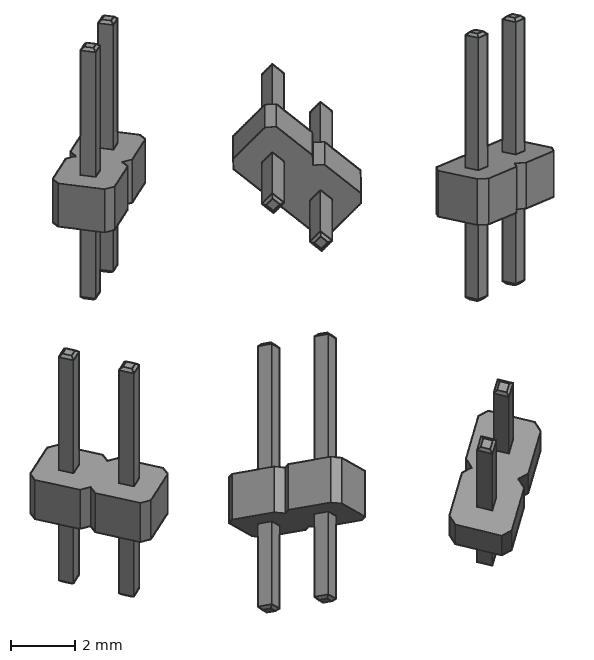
import cadquery as cq

pin_count = 2
pitch = 2.0
total_height = 8.7

block_height = 1.5
corner_cut = 0.25

pin_width = 0.5
pin_below_block = 2.8
tip_inset = 0.1
tip_height = 0.1

pin_positions = [(i - (pin_count - 1) / 2) * pitch for i in range(pin_count)]


def make_block_cell(y):
    """One square insulator cell with all four vertical edges chamfered."""
    return (
        cq.Workplane("XY")
        .center(0, y)
        .rect(pitch, pitch)
        .extrude(block_height)
        .edges("|Z")
        .chamfer(corner_cut)
    )


def make_pin(y):
    """One square pin passing through the block, tapered at both ends."""
    return (
        cq.Workplane("XY", origin=(0, y, -pin_below_block))
        .rect(pin_width, pin_width)
        .extrude(total_height)
        .faces("<Z or >Z")
        .chamfer(tip_height, tip_inset)
    )


result = make_block_cell(pin_positions[0])
for y in pin_positions[1:]:
    result = result.union(make_block_cell(y))
for y in pin_positions:
    result = result.union(make_pin(y))